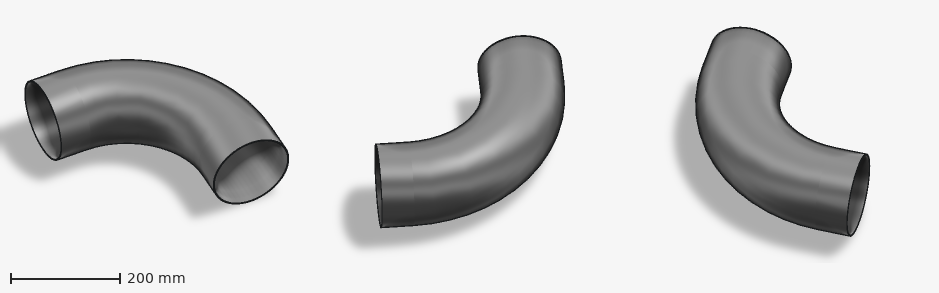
import cadquery as cq
import math

overall_size = 362.0
outer_diameter = 154.0
inner_diameter = 150.0
collar_length = 60.0

bend_radius = overall_size - collar_length - outer_diameter / 2

bend_start = (0, collar_length)
bend_centre = (bend_radius, collar_length)
bend_offset = bend_radius * math.sin(math.radians(45))
bend_middle = (bend_centre[0] - bend_offset, bend_centre[1] + bend_offset)
bend_end = (bend_radius, collar_length + bend_radius)
pipe_end = (bend_radius + collar_length, bend_end[1])

centreline = (
    cq.Workplane("XY")
    .lineTo(*bend_start)
    .threePointArc(bend_middle, bend_end)
    .lineTo(*pipe_end)
)

result = (
    cq.Workplane("XZ")
    .circle(outer_diameter / 2)
    .circle(inner_diameter / 2)
    .sweep(centreline)
)